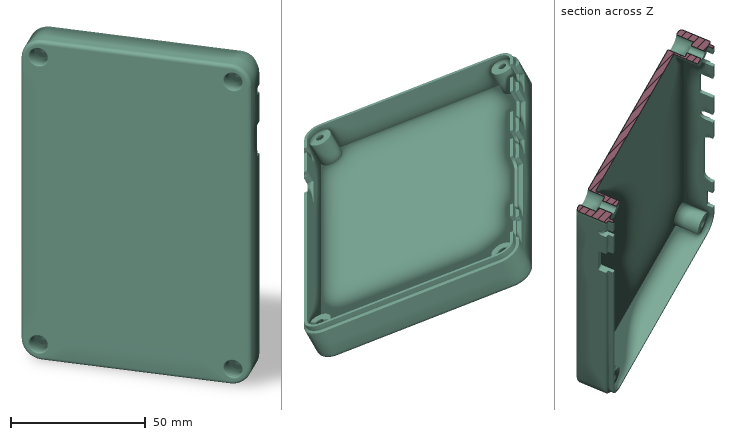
import cadquery as cq

width = 88.43
depth = 14.96
height = 133.4

corner_radius = 8.0
face_fillet = 1.5
rim_chamfer = 0.4
lip_height = 2.1
lip_inset = 1.3
lip_corner_radius = 6.35
lip_thickness = 1.2
floor_thickness = 3.0
body_depth = depth - lip_height
wall_thickness = lip_inset + lip_thickness

screw_spacing_x = 75.0
screw_spacing_z = 120.0
screw_hole_diameter = 3.2
head_bore_diameter = 7.0
head_bore_depth = 7.0
head_bore_rounding = 0.5
boss_diameter = 9.0

recess_overrun = 1.0

connector_openings = [
    (51.45, 8.5, 5.5, 0.8, 0.5, 0.4),
    (31.5, 13.4, 5.5, 0.6, 1.5, 1.4),
    (9.9, 5.4, 5.45, 2.6, 0.7, 0.45),
    (-19.95, 31.0, 3.85, 3.4, 0.6, 1.0),
    (-48.3, 10.3, 2.6, 0.2, 0.7, 0.9),
]

far_openings = [
    (52.0, 3.3, 5.5, 1.6),
    (31.5, 13.4, 5.5, 0.6),
]


def rounded_block(inset, radius, start, end):
    """Block with rounded corners, inset from the outer outline, from Y = start to Y = end."""
    return (
        cq.Workplane("XZ", origin=(0, start, 0))
        .rect(width - 2 * inset, height - 2 * inset)
        .extrude(start - end)
        .edges("|Y")
        .fillet(radius)
    )


def screw_cylinders(diameter, start, end):
    """One cylinder at each corner screw, from Y = start to Y = end."""
    return (
        cq.Workplane("XZ", origin=(0, start, 0))
        .rect(screw_spacing_x, screw_spacing_z, forConstruction=True)
        .vertices()
        .circle(diameter / 2)
        .extrude(start - end)
    )


def make_shell():
    """Hollow cover with a raised inner lip and a boss in each corner."""
    body = rounded_block(0, corner_radius, 0, body_depth)
    body = body.faces("<Y").edges().fillet(face_fillet)
    body = body.faces(">Y").chamfer(rim_chamfer)
    lip = rounded_block(lip_inset, lip_corner_radius, floor_thickness, depth)
    cavity = rounded_block(wall_thickness, lip_corner_radius - lip_thickness, floor_thickness, depth)
    bosses = screw_cylinders(boss_diameter, floor_thickness, body_depth)
    return body.union(lip).cut(cavity.cut(bosses))


def cut_screw_holes(part):
    """Screw holes with head bores sunk from the outer face, rounded at the mouth."""
    part = part.cut(screw_cylinders(screw_hole_diameter, 0, depth))
    part = part.cut(screw_cylinders(head_bore_diameter, 0, head_bore_depth))
    smallest_arcs = cq.selectors.RadiusNthSelector(0)
    bore_mouths = part.faces("<Y").edges("%CIRCLE").edges(smallest_arcs)
    return bore_mouths.fillet(head_bore_rounding)


def wall_opening(side, centre_z, opening_width, opening_depth, radius):
    """Notch from the rim through one side wall; side is -1 for the -X wall and +1 for +X."""
    start_x = side * (width / 2 - wall_thickness)
    bottom = depth - opening_depth
    return (
        cq.Workplane("YZ", origin=(start_x, bottom + opening_depth / 2, centre_z))
        .rect(opening_depth, opening_width)
        .extrude(side * wall_thickness)
        .edges("|X and <Y")
        .fillet(radius)
    )


def connector_recess(centre_z, opening_width, opening_depth, side_margin, bottom_margin):
    """Recess from the -X face down to the plane of the lip, its three sides sloping at 45 degrees."""
    floor_bottom = depth - opening_depth - bottom_margin
    floor_half = opening_width / 2 + side_margin
    slope = lip_inset + recess_overrun
    return (
        cq.Workplane("YZ", origin=(-width / 2 + lip_inset, 0, centre_z))
        .moveTo(floor_bottom - slope, -floor_half - slope)
        .lineTo(depth, -floor_half - slope)
        .lineTo(depth, floor_half + slope)
        .lineTo(floor_bottom - slope, floor_half + slope)
        .close()
        .extrude(-slope - recess_overrun)
        .faces(">X")
        .edges("not >Y")
        .chamfer(slope)
    )


result = cut_screw_holes(make_shell())
for centre_z, opening_width, opening_depth, radius, side_margin, bottom_margin in connector_openings:
    result = result.cut(connector_recess(centre_z, opening_width, opening_depth, side_margin, bottom_margin))
    result = result.cut(wall_opening(-1, centre_z, opening_width, opening_depth, radius))
for centre_z, opening_width, opening_depth, radius in far_openings:
    result = result.cut(wall_opening(1, centre_z, opening_width, opening_depth, radius))